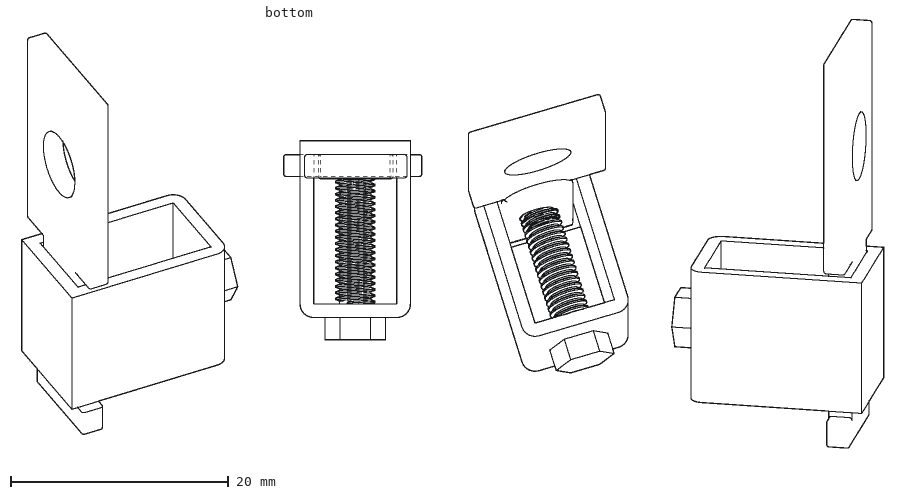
import cadquery as cq
import math

INCH = 25.4


cage_width = 0.40 * INCH
cage_depth = 0.64 * INCH
cage_height = 0.50 * INCH
cage_wall = 0.05 * INCH
cage_corner_radius = cage_wall

plate_width = 0.50 * INCH
plate_height = 0.81 * INCH
plate_thickness = 0.08 * INCH
plate_offset = -0.009 * INCH
neck_width = 0.27 * INCH
neck_offset = 0.002 * INCH
neck_thickness = 0.088 * INCH
foot_width = 0.37 * INCH
foot_thickness = 0.085 * INCH
foot_height = 0.103 * INCH
plate_gap = 0.044 * INCH
foot_gap = 0.043 * INCH
hole_diameter = 0.25 * INCH
hole_from_top = 0.402 * INCH
edge_radius = 0.01 * INCH

head_across_flats = 0.19 * INCH
head_height = 0.08 * INCH
thread_diameter = 3.6
root_diameter = 2.9
thread_pitch = 0.565
thread_base_width = 0.8 * thread_pitch
thread_crest_width = 0.25 * thread_pitch
thread_embed = 0.05

tongue_front = cage_wall
neck_back = tongue_front + neck_thickness
cage_inner_back = cage_depth - cage_wall
plate_bottom = cage_height / 2 + plate_gap
plate_top = plate_bottom + plate_height
foot_top = -cage_height / 2 - foot_gap
foot_bottom = foot_top - foot_height


def slab(width, thickness, bottom, top, x_center):
    """Upright block whose front face lies on the front of the tongue."""
    return (
        cq.Workplane("XY", origin=(x_center, tongue_front + thickness / 2, bottom))
        .rect(width, thickness)
        .extrude(top - bottom)
    )


def make_cage():
    outside = (
        cq.Workplane("XY", origin=(0, cage_depth / 2, -cage_height / 2))
        .rect(cage_width, cage_depth)
        .extrude(cage_height)
        .edges("|Z and >Y")
        .fillet(cage_corner_radius)
    )
    opening = (
        cq.Workplane("XY", origin=(0, cage_depth / 2, -cage_height / 2))
        .rect(cage_width - 2 * cage_wall, cage_depth - 2 * cage_wall)
        .extrude(cage_height)
    )
    return outside.cut(opening)


def make_screw_head():
    across_corners = head_across_flats / math.cos(math.pi / 6)
    return (
        cq.Workplane("XZ", origin=(0, cage_depth, 0))
        .polygon(6, across_corners)
        .extrude(-head_height)
    )


def make_screw_shank():
    """Root cylinder with a helical ridge, between the neck and the cage's back wall."""
    root_radius = root_diameter / 2
    crest_radius = thread_diameter / 2
    ridge_base_radius = root_radius - thread_embed
    shank_length = cage_inner_back - neck_back

    root = cq.Workplane("XY").circle(root_radius).extrude(shank_length + cage_wall / 2)
    helix = cq.Wire.makeHelix(thread_pitch, shank_length + thread_pitch, ridge_base_radius)
    ridge = (
        cq.Workplane("XZ")
        .polyline([
            (ridge_base_radius, -thread_base_width / 2),
            (crest_radius, -thread_crest_width / 2),
            (crest_radius, thread_crest_width / 2),
            (ridge_base_radius, thread_base_width / 2),
        ])
        .close()
        .sweep(cq.Workplane(obj=helix), isFrenet=True)
        .translate((0, 0, -thread_pitch))
    )
    below_tip = (
        cq.Workplane("XY")
        .rect(2 * thread_diameter, 2 * thread_diameter)
        .extrude(-2 * thread_pitch)
    )
    return (
        root.union(ridge.cut(below_tip))
        .rotate((0, 0, 0), (1, 0, 0), -90)
        .translate((0, neck_back, 0))
    )


def make_clamp():
    return make_cage().union(make_screw_shank()).union(make_screw_head())


def make_neck():
    """Upright neck whose thicker back runs up the plate to a round end."""
    round_back_depth = 1.1 * edge_radius
    front_depth = neck_thickness - round_back_depth
    joint_overlap = 2 * edge_radius
    upper_neck = (
        slab(neck_width, front_depth, 0, plate_bottom + joint_overlap, neck_offset)
        .edges("|Z and <Y")
        .fillet(edge_radius)
    )
    lower_neck = slab(neck_width, front_depth, foot_top - joint_overlap, 0, neck_offset)

    half_width = neck_width / 2
    round_start = cage_height / 2
    back = (
        cq.Workplane("XZ", origin=(neck_offset, neck_back, 0))
        .moveTo(-half_width, foot_top - joint_overlap)
        .lineTo(half_width, foot_top - joint_overlap)
        .lineTo(half_width, round_start)
        .threePointArc((0, round_start + half_width), (-half_width, round_start))
        .close()
        .extrude(round_back_depth)
        .faces(">Y")
        .edges("not <Z")
        .fillet(edge_radius)
    )
    return lower_neck.union(upper_neck).union(back)


def make_foot():
    """Foot with rounded edges, except for the sharp top edges on its +X half."""
    foot = slab(foot_width, foot_thickness, foot_bottom, foot_top, neck_offset)
    rounded = foot.edges().fillet(edge_radius)
    sharp_topped = foot.edges("not >Z").fillet(edge_radius)
    left_half = slab(foot_width, foot_thickness, foot_bottom, foot_top, neck_offset - foot_width / 2)
    return rounded.intersect(left_half).union(sharp_topped.cut(left_half))


def make_tongue():
    plate = (
        slab(plate_width, plate_thickness, plate_bottom, plate_top, plate_offset)
        .edges()
        .fillet(edge_radius)
    )
    hole = (
        cq.Workplane("XZ", origin=(0, tongue_front, plate_top - hole_from_top))
        .circle(hole_diameter / 2)
        .extrude(-plate_thickness)
    )
    return plate.union(make_neck()).union(make_foot()).cut(hole)


clamp = make_clamp()
tongue = make_tongue()

result = cq.Compound.makeCompound([clamp.solids().val(), tongue.solids().val()])